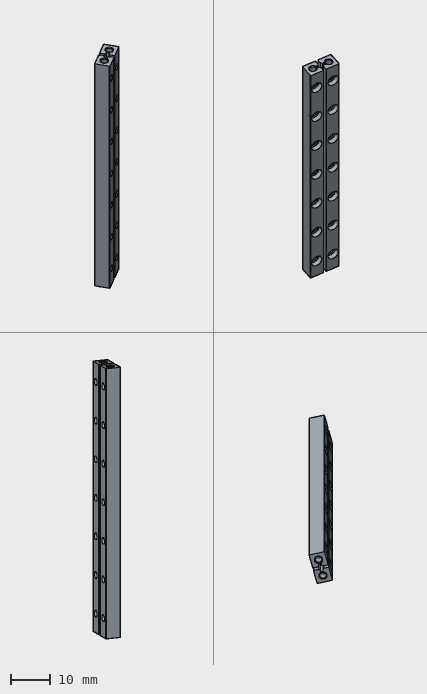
import cadquery as cq
import math

LENGTH = 70.0
WIDTH_X = 4.0
PAIR_DEPTH_Y = 8.5
GAP = 0.7
OUTER_EDGE_CHAMFER = 0.175
INNER_EDGE_CHAMFER = 0.105

TRACK_HALF_MOUTH = 0.7
RELIEF_HALF_WIDTH = 0.35
RELIEF_DEPTH = 0.85
TRACK_SLOPE_DEPTH = TRACK_HALF_MOUTH - RELIEF_HALF_WIDTH

MOUNT_COUNT = 7
MOUNT_PITCH = LENGTH / MOUNT_COUNT
MOUNT_DIAMETER = 1.7
COUNTERBORE_DIAMETER = 3.0
COUNTERBORE_DEPTH = 1.4
MOUNT_FROM_OUTER_FACE = 1.8

END_HOLE_FROM_OUTER_FACE = 1.9
END_HOLE_DIAMETER = 1.7
END_HOLE_MOUTH_DIAMETER = 2.1
END_HOLE_DEPTH = 2.8
DRILL_TIP_ANGLE = 118.0

OUTER_Y = PAIR_DEPTH_Y / 2
INNER_Y = GAP / 2
HALF_X = WIDTH_X / 2
HALF_LENGTH = LENGTH / 2
MOUNT_Y = OUTER_Y - MOUNT_FROM_OUTER_FACE
END_HOLE_Y = OUTER_Y - END_HOLE_FROM_OUTER_FACE


def rail_blank():
    """Bar on the +Y side of the gap, with its track and its chamfered long edges."""
    slope_y = INNER_Y + TRACK_SLOPE_DEPTH
    relief_y = INNER_Y + RELIEF_DEPTH
    right_half = [
        (RELIEF_HALF_WIDTH, relief_y),
        (RELIEF_HALF_WIDTH, slope_y),
        (TRACK_HALF_MOUTH, INNER_Y),
        (HALF_X - INNER_EDGE_CHAMFER, INNER_Y),
        (HALF_X, INNER_Y + INNER_EDGE_CHAMFER),
        (HALF_X, OUTER_Y - OUTER_EDGE_CHAMFER),
        (HALF_X - OUTER_EDGE_CHAMFER, OUTER_Y),
    ]
    left_half = [(-x, y) for x, y in reversed(right_half)]
    profile = cq.Workplane("XY", origin=(0, 0, -HALF_LENGTH))
    return profile.polyline(right_half + left_half).close().extrude(LENGTH)


def mounting_hole(z):
    """Cutter for one through hole along X, counterbored on the -X face."""
    face = cq.Workplane("YZ", origin=(-HALF_X, MOUNT_Y, z))
    through = face.circle(MOUNT_DIAMETER / 2).extrude(WIDTH_X)
    counterbore = face.circle(COUNTERBORE_DIAMETER / 2).extrude(COUNTERBORE_DEPTH)
    return through.union(counterbore)


def end_hole():
    """Cutter for the blind hole in the top end, revolved about its own axis."""
    radius = END_HOLE_DIAMETER / 2
    mouth_radius = END_HOLE_MOUTH_DIAMETER / 2
    tip_height = radius / math.tan(math.radians(DRILL_TIP_ANGLE / 2))
    half_section = [
        (0, 0),
        (mouth_radius, 0),
        (radius, radius - mouth_radius),
        (radius, tip_height - END_HOLE_DEPTH),
        (0, -END_HOLE_DEPTH),
    ]
    section = cq.Workplane("XZ", origin=(0, END_HOLE_Y, HALF_LENGTH)).polyline(half_section).close()
    return section.revolve(360, (0, 0), (0, 1))


def make_rail():
    """Complete rail on the +Y side of the gap."""
    rail = rail_blank()
    for index in range(MOUNT_COUNT):
        z = (index - (MOUNT_COUNT - 1) / 2) * MOUNT_PITCH
        rail = rail.cut(mounting_hole(z))
    top_hole = end_hole()
    return rail.cut(top_hole).cut(top_hole.mirror("XY"))


rails = []
for facing_rail in (False, True):
    rail = make_rail()
    if facing_rail:
        rail = rail.mirror("XZ")
    rails.append(rail.val())

result = cq.Compound.makeCompound(rails)